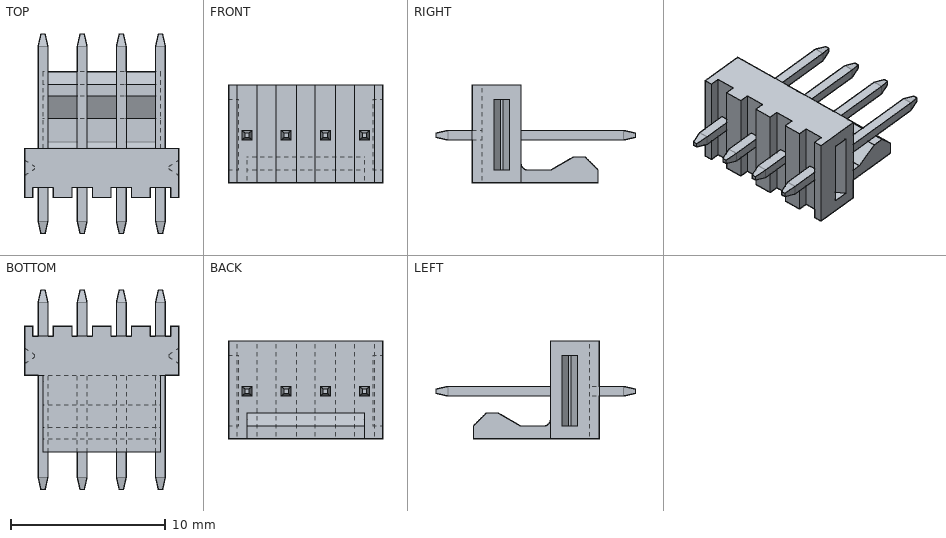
import cadquery as cq
import math


pin_count = 4
pin_pitch = 2.54
pin_length = 12.95
pin_width = 0.65
pin_height = 3.08
tip_length = 0.8
tip_width = 0.28

body_length = 10.01
body_height = 6.35
body_depth = 3.19
body_front = 2.35
body_back = body_front + body_depth
first_pin_x = (body_length - (pin_count - 1) * pin_pitch) / 2
pin_positions = [first_pin_x + i * pin_pitch for i in range(pin_count)]

groove_width = 1.31
groove_depth = 0.65

pocket_depth = 0.65
pocket_bottom = 0.84
pocket_height = 4.56
pocket_front = body_front + 1.42
pocket_mouth = 1.01
pocket_floor = 0.17
pocket_slope = (pocket_mouth - pocket_floor) / 2

latch_length = 4.99
latch_width = (pin_count - 1) * pin_pitch
latch_thickness = 0.84
hook_height = 0.84
hook_crest = 0.75
hook_ramp_angle = 30.0
root_radius = 0.4


def make_housing():
    """Plain block of the housing."""
    block = cq.Workplane("XY").box(body_length, body_depth, body_height, centered=False)
    return block.translate((0, body_front, 0))


def make_groove(x):
    """Full-height groove cutter centred on the pin at x."""
    cutter = cq.Workplane("XY").box(groove_width, groove_depth, body_height, centered=False)
    return cutter.translate((x - groove_width / 2, body_front, 0))


def make_pocket():
    """Trapezoidal pocket cutter for the left end face."""
    pocket_back = pocket_front + pocket_mouth
    return (
        cq.Workplane("XY", origin=(0, 0, pocket_bottom))
        .moveTo(0, pocket_front)
        .lineTo(pocket_depth, pocket_front + pocket_slope)
        .lineTo(pocket_depth, pocket_back - pocket_slope)
        .lineTo(0, pocket_back)
        .close()
        .extrude(pocket_height)
    )


def make_latch():
    """Arm with a hooked end and a rounded root, drawn in the YZ plane and extruded along X."""
    latch_end = body_back + latch_length
    crest_end = latch_end - hook_height
    crest_start = crest_end - hook_crest
    ramp_end = crest_start - hook_height / math.tan(math.radians(hook_ramp_angle))
    root_y = body_back + root_radius
    root_z = latch_thickness + root_radius
    arc_inset = root_radius * (1 - math.sqrt(0.5))
    hook_top = latch_thickness + hook_height
    return (
        cq.Workplane("YZ", origin=((body_length - latch_width) / 2, 0, 0))
        .moveTo(body_back, 0)
        .lineTo(latch_end, 0)
        .lineTo(latch_end, latch_thickness)
        .lineTo(crest_end, hook_top)
        .lineTo(crest_start, hook_top)
        .lineTo(ramp_end, latch_thickness)
        .lineTo(root_y, latch_thickness)
        .threePointArc((body_back + arc_inset, latch_thickness + arc_inset), (body_back, root_z))
        .close()
        .extrude(latch_width)
    )


def make_tip(x, base_y, end_y):
    """Tapered pin end from the full section at base_y to the blunt point at end_y."""
    return (
        cq.Workplane("XZ", origin=(x, base_y, pin_height))
        .rect(pin_width, pin_width)
        .workplane(offset=base_y - end_y)
        .rect(tip_width, tip_width)
        .loft(ruled=True)
    )


def make_pin(x):
    """Square pin with a tapered tip at each end."""
    shank_end = pin_length - tip_length
    shank = (
        cq.Workplane("XZ", origin=(x, tip_length, pin_height))
        .rect(pin_width, pin_width)
        .extrude(tip_length - shank_end)
    )
    front_tip = make_tip(x, tip_length, 0)
    back_tip = make_tip(x, shank_end, pin_length)
    return shank.union(front_tip).union(back_tip)


left_pocket = make_pocket()
right_pocket = left_pocket.mirror("YZ", (body_length / 2, 0, 0))

result = make_housing().cut(left_pocket).cut(right_pocket).union(make_latch())
for pin_x in pin_positions:
    result = result.cut(make_groove(pin_x)).union(make_pin(pin_x))